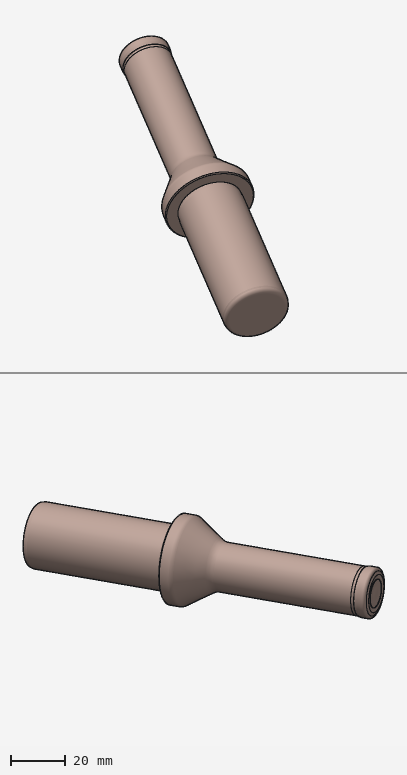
import cadquery as cq
import math

OVERALL_LENGTH = 134.9

HEAD_DIA = 19.2
HEAD_BACK_DIA = 18.8
STEM_DIA = 18.5
HEAD_CORNER_X = 1.3
HEAD_TAPER_X = 3.8
HEAD_BACK_X = 5.0
HEAD_SEAT_X = 6.2
TIP_RING_DIA = 14.2
CORNER_START_DIA = 16.7
CORNER_START_X = 0.4
CORNER_RADIUS = 1.1

BOSS_DIA = 10.7
BOSS_ROOT_X = 0.3
BOSS_FACE_X = 0.07
RING_OUTER_DIA = 7.5
RING_INNER_DIA = 5.4
RING_DEPTH = 0.08

FLANGE_DIA = 34.0
FLANGE_BACK_X = 78.9
FLANGE_CHAMFER = 0.4
CONE_START_X = 60.2
CONE_ANGLE = math.radians(32.5)
NECK_BLEND_RADIUS = 5.4
FLANGE_BLEND_RADIUS = 2.8
SHANK_DIA = 25.0
RELIEF_DIA = 24.5
RELIEF_END_X = 79.7
SHANK_START_X = 81.0
LEAD_IN_X = 132.6
END_ROUND = 1.6


def revolve_about_x(outline):
    """Turn a closed (axial, radial) outline around the X axis."""
    return outline.close().revolve(360, (0, 0, 0), (1, 0, 0))


def make_cutter_head():
    outline = (
        cq.Workplane("XY")
        .moveTo(BOSS_FACE_X, 0)
        .lineTo(BOSS_FACE_X + RING_DEPTH, RING_INNER_DIA / 2)
        .lineTo(BOSS_FACE_X + RING_DEPTH / 2, RING_OUTER_DIA / 2)
        .lineTo(BOSS_FACE_X, BOSS_DIA / 2)
        .lineTo(BOSS_ROOT_X, BOSS_DIA / 2)
        .lineTo(0, TIP_RING_DIA / 2)
        .lineTo(CORNER_START_X, CORNER_START_DIA / 2)
        .radiusArc((HEAD_CORNER_X, HEAD_DIA / 2), CORNER_RADIUS)
        .lineTo(HEAD_TAPER_X, HEAD_DIA / 2)
        .lineTo(HEAD_BACK_X, HEAD_BACK_DIA / 2)
        .lineTo(HEAD_BACK_X, STEM_DIA / 2)
        .lineTo(HEAD_SEAT_X, STEM_DIA / 2)
        .lineTo(HEAD_SEAT_X, 0)
    )
    return revolve_about_x(outline)


def make_holder():
    arc_run = math.sin(CONE_ANGLE)
    arc_rise = 1 - math.cos(CONE_ANGLE)
    cone_small_x = CONE_START_X + NECK_BLEND_RADIUS * arc_run
    cone_small_radius = STEM_DIA / 2 + NECK_BLEND_RADIUS * arc_rise
    cone_large_radius = FLANGE_DIA / 2 - FLANGE_BLEND_RADIUS * arc_rise
    cone_large_x = cone_small_x + (cone_large_radius - cone_small_radius) / math.tan(CONE_ANGLE)
    rim_start_x = cone_large_x + FLANGE_BLEND_RADIUS * arc_run

    outline = (
        cq.Workplane("XY")
        .moveTo(HEAD_SEAT_X, 0)
        .lineTo(HEAD_SEAT_X, STEM_DIA / 2)
        .lineTo(CONE_START_X, STEM_DIA / 2)
        .radiusArc((cone_small_x, cone_small_radius), -NECK_BLEND_RADIUS)
        .lineTo(cone_large_x, cone_large_radius)
        .radiusArc((rim_start_x, FLANGE_DIA / 2), FLANGE_BLEND_RADIUS)
        .lineTo(FLANGE_BACK_X - FLANGE_CHAMFER, FLANGE_DIA / 2)
        .lineTo(FLANGE_BACK_X, FLANGE_DIA / 2 - FLANGE_CHAMFER)
        .lineTo(FLANGE_BACK_X, RELIEF_DIA / 2)
        .lineTo(RELIEF_END_X, RELIEF_DIA / 2)
        .lineTo(SHANK_START_X, SHANK_DIA / 2)
        .lineTo(LEAD_IN_X, SHANK_DIA / 2)
        .lineTo(OVERALL_LENGTH - END_ROUND, RELIEF_DIA / 2)
        .radiusArc((OVERALL_LENGTH, RELIEF_DIA / 2 - END_ROUND), END_ROUND)
        .lineTo(OVERALL_LENGTH, 0)
    )
    return revolve_about_x(outline)


cutter_head = make_cutter_head()
holder = make_holder()
result = cq.Compound.makeCompound([cutter_head.val(), holder.val()])